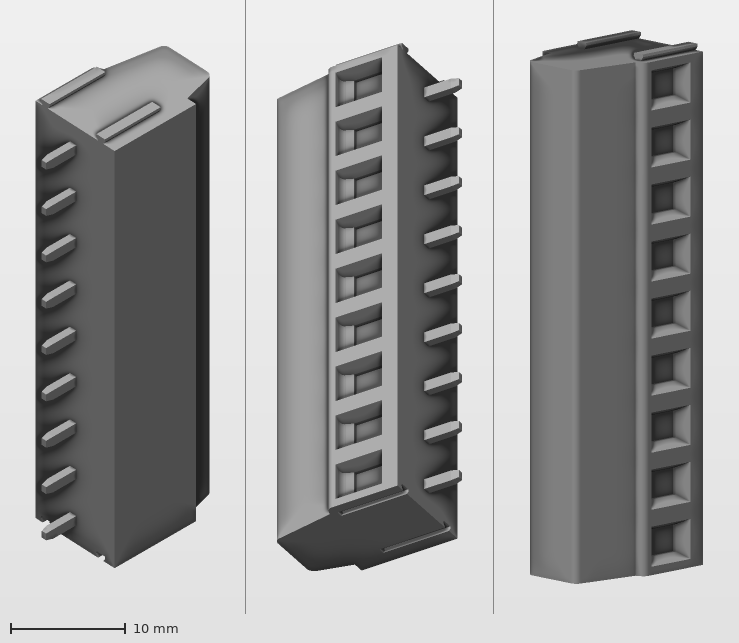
import cadquery as cq


pole_count = 9
height = 45.7
pitch = height / pole_count
width = 10.0
depth = 13.75

ledge_corner_y = 7.15
ledge_corner_radius = 0.6
ledge_x = 0.85
ledge_y = 7.45
crest_left_x = 1.95
crest_right_x = 7.87
crest_left_radius = 0.6
crest_right_radius = 0.8
shoulder_x = 8.9
shoulder_y = 9.8

pocket_y_min = 1.57
pocket_y_max = 6.35
pocket_height = 3.55
taper_inset = 0.55
taper_depth = 1.2
pocket_depth = 1.57
curve_start_depth = 0.55
curve_end_depth = 1.0
curve_end_y = 5.9
step_y = 5.2

pin_x = 4.75
pin_width = 0.8
pin_height = 1.0
pin_length = 3.5
pin_tip_length = 0.75
pin_tip_width = 0.55
pin_tip_height = 0.75

dovetail_first_x = 1.25
dovetail_spacing = 7.0
overall_height = 46.3
dovetail_height = overall_height - height
dovetail_wide = 1.15
dovetail_neck = 0.65
dovetail_length = 6.7
dovetail_lip = 0.25
dovetail_lip_inset = 0.05


def make_housing():
    block = (
        cq.Workplane("XY")
        .moveTo(0, 0)
        .lineTo(width, 0)
        .lineTo(width, shoulder_y)
        .lineTo(shoulder_x, shoulder_y)
        .lineTo(crest_right_x, depth)
        .lineTo(crest_left_x, depth)
        .lineTo(ledge_x, ledge_y)
        .lineTo(0, ledge_corner_y)
        .close()
        .extrude(height)
    )
    rounded_corners = [
        (0, ledge_corner_y, ledge_corner_radius),
        (crest_left_x, depth, crest_left_radius),
        (crest_right_x, depth, crest_right_radius),
    ]
    for x, y, radius in rounded_corners:
        edge = cq.selectors.NearestToPointSelector((x, y, height / 2))
        block = block.edges("|Z").edges(edge).fillet(radius)
    return block


def make_pocket():
    """Pocket cutter centred on Z = 0: its plan outline crossed with its side outline."""
    half_height = pocket_height / 2
    inner_half_height = half_height - taper_inset
    plan = (
        cq.Workplane("XY")
        .workplane(offset=-half_height)
        .moveTo(0, pocket_y_min)
        .lineTo(taper_depth, pocket_y_min + taper_inset)
        .lineTo(pocket_depth, pocket_y_min + taper_inset)
        .lineTo(pocket_depth, step_y)
        .lineTo(taper_depth, step_y)
        .lineTo(curve_end_depth, curve_end_y)
        .lineTo(curve_start_depth, curve_end_y)
        .lineTo(curve_start_depth, pocket_y_max)
        .lineTo(0, pocket_y_max)
        .close()
        .extrude(pocket_height)
    )
    curve = (
        cq.Workplane("XY")
        .workplane(offset=-half_height)
        .moveTo(0, pocket_y_max)
        .lineTo(curve_start_depth, pocket_y_max)
        .tangentArcPoint((curve_end_depth, curve_end_y), relative=False)
        .lineTo(0, curve_end_y)
        .close()
        .extrude(pocket_height)
    )
    side = (
        cq.Workplane("XZ")
        .moveTo(0, -half_height)
        .lineTo(taper_depth, -inner_half_height)
        .lineTo(pocket_depth, -inner_half_height)
        .lineTo(pocket_depth, inner_half_height)
        .lineTo(taper_depth, inner_half_height)
        .lineTo(0, half_height)
        .close()
        .extrude(-depth)
    )
    return plan.union(curve).intersect(side)


def make_pin():
    """Pin centred on Z = 0, rooted on the Y = 0 face and pointing toward -Y."""
    shank_length = pin_length - pin_tip_length
    shank = (
        cq.Workplane("XZ")
        .center(pin_x, 0)
        .rect(pin_width, pin_height)
        .extrude(shank_length)
    )
    tip = (
        cq.Workplane("XZ")
        .workplane(offset=shank_length)
        .center(pin_x, 0)
        .rect(pin_width, pin_height)
        .workplane(offset=pin_tip_length)
        .rect(pin_tip_width, pin_tip_height)
        .loft(ruled=True)
    )
    return shank.union(tip)


def make_dovetail(x):
    """Dovetail rising from Z = 0, narrow at its foot, bevelled at its lip, running up from Y = 0."""
    return (
        cq.Workplane("XZ")
        .moveTo(x - dovetail_neck / 2, 0)
        .lineTo(x + dovetail_neck / 2, 0)
        .lineTo(x + dovetail_wide / 2, dovetail_height - dovetail_lip)
        .lineTo(x + dovetail_wide / 2 - dovetail_lip_inset, dovetail_height)
        .lineTo(x - dovetail_wide / 2 + dovetail_lip_inset, dovetail_height)
        .lineTo(x - dovetail_wide / 2, dovetail_height - dovetail_lip)
        .close()
        .extrude(-dovetail_length)
    )


result = make_housing()

pocket = make_pocket()
pin = make_pin()
for pole in range(pole_count):
    pole_z = (pole + 0.5) * pitch
    result = result.cut(pocket.translate((0, 0, pole_z)))
    result = result.union(pin.translate((0, 0, pole_z)))

for dovetail_x in (dovetail_first_x, dovetail_first_x + dovetail_spacing):
    dovetail = make_dovetail(dovetail_x)
    result = result.union(dovetail.translate((0, 0, height)))
    result = result.cut(dovetail)